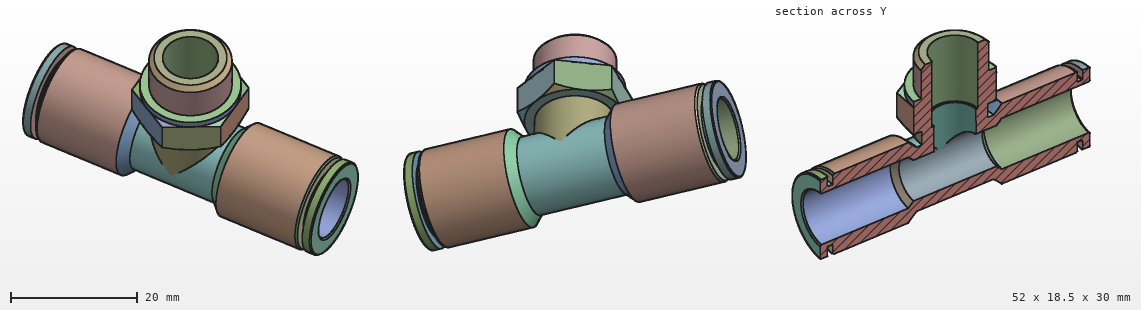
import cadquery as cq
import math

run_length = 52.0
core_diameter = 12.8
socket_diameter = 16.0
socket_inner_end = 9.0
socket_outer_end = 23.6
socket_bevel_length = 0.35
socket_bevel_height = 0.2
shoulder_length = (socket_diameter - core_diameter) / 2

collar_diameter = 15.8
collar_thickness = 1.5
collar_edge_chamfer = 0.2
collar_neck_diameter = 12.0
collar_root_bevel = 0.15

tube_bore_diameter = 10.0
through_bore_diameter = 8.0
bore_mouth_chamfer = 0.25
tube_bore_depth = 17.0
bore_step_length = (tube_bore_diameter - through_bore_diameter) / 2

hex_sides = 6
hex_across_flats = 16.0
hex_bottom = 9.0
hex_top = 14.5
hex_chamfer_angle = 30.0
flange_diameter = 16.0
flange_top = 15.6
stud_diameter = 13.16
stud_tip_diameter = 11.5
stud_top = 22.0
stud_bore_diameter = 8.77


def vertical_cylinder(diameter, bottom, top):
    return cq.Workplane("XY").workplane(offset=bottom).circle(diameter / 2).extrude(top - bottom)


def revolve_symmetric_run(right_half):
    """Revolve (x, radius) points about the run axis, together with their mirror images in x."""
    left_half = [(-x, radius) for x, radius in reversed(right_half)]
    outline = left_half + right_half
    return cq.Workplane("XY").polyline(outline).close().revolve(360, (0, 0, 0), (1, 0, 0))


def run_body():
    run_end = run_length / 2
    collar_inner = run_end - collar_thickness
    core_radius = core_diameter / 2
    socket_radius = socket_diameter / 2
    neck_radius = collar_neck_diameter / 2
    collar_radius = collar_diameter / 2
    return revolve_symmetric_run([
        (socket_inner_end - shoulder_length, core_radius),
        (socket_inner_end, socket_radius),
        (socket_outer_end - socket_bevel_length, socket_radius),
        (socket_outer_end, socket_radius - socket_bevel_height),
        (socket_outer_end, neck_radius),
        (collar_inner - collar_root_bevel, neck_radius),
        (collar_inner, neck_radius + collar_root_bevel),
        (collar_inner, collar_radius),
        (run_end - collar_edge_chamfer, collar_radius),
        (run_end, collar_radius - collar_edge_chamfer),
        (run_end, 0),
    ])


def run_bore():
    run_end = run_length / 2
    tube_stop = run_end - tube_bore_depth
    through_radius = through_bore_diameter / 2
    tube_radius = tube_bore_diameter / 2
    return revolve_symmetric_run([
        (tube_stop - bore_step_length, through_radius),
        (tube_stop, tube_radius),
        (run_end - bore_mouth_chamfer, tube_radius),
        (run_end, tube_radius + bore_mouth_chamfer),
        (run_end, 0),
    ])


def hexagon():
    """Hexagon with corners on Y and its lower corners chamfered down to the across-flats circle."""
    corner_diameter = hex_across_flats / math.cos(math.pi / hex_sides)
    prism = (
        cq.Workplane("XY")
        .workplane(offset=hex_bottom)
        .polygon(hex_sides, corner_diameter)
        .extrude(hex_top - hex_bottom)
        .rotate((0, 0, 0), (0, 0, 1), 90)
    )
    flat_radius = hex_across_flats / 2
    cone_top_radius = flat_radius + (hex_top - hex_bottom) / math.tan(math.radians(hex_chamfer_angle))
    chamfer_cone = (
        cq.Workplane("XZ")
        .polyline([(0, hex_bottom), (flat_radius, hex_bottom), (cone_top_radius, hex_top), (0, hex_top)])
        .close()
        .revolve(360, (0, 0, 0), (0, 1, 0))
    )
    return prism.intersect(chamfer_cone)


def stud():
    tip_chamfer = (stud_diameter - stud_tip_diameter) / 2
    return vertical_cylinder(stud_diameter, hex_top, stud_top).faces(">Z").chamfer(tip_chamfer)


def branch_body():
    neck = vertical_cylinder(core_diameter, 0, hex_bottom)
    flange = vertical_cylinder(flange_diameter, hex_top, flange_top)
    return neck.union(hexagon()).union(flange).union(stud())


def branch_bore():
    """Stud bore down to the hexagon's underside, then the through bore down to the run axis."""
    lower_bore = vertical_cylinder(through_bore_diameter, 0, stud_top)
    stud_bore = vertical_cylinder(stud_bore_diameter, hex_bottom, stud_top)
    return lower_bore.union(stud_bore)


result = run_body().union(branch_body()).cut(run_bore()).cut(branch_bore())